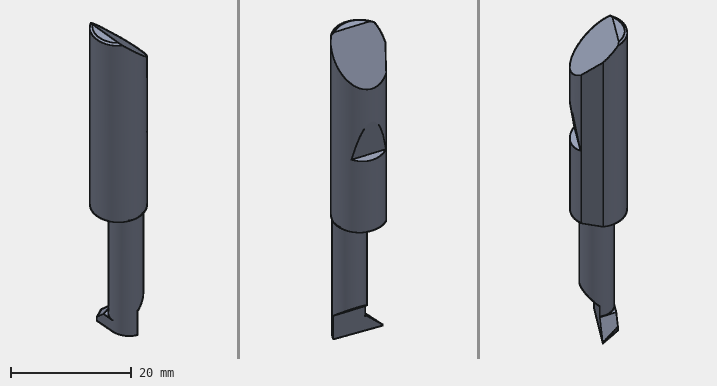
import cadquery as cq

total_length = 63.5
margin = 12.7

shank_radius = 4.75
shank_bottom = 25.4
rim_width = 0.45
rim_height = 0.25
bevel_start_y = -2.85
flat_distance = 4.4
flat_angle = 156.5

notch_top = 48.75
notch_bottom = 40.9
notch_floor_y = 3.55
notch_lip_drop = 0.3

neck_radius = 2.9
neck_x = shank_radius - neck_radius
half_neck_top = 5.35

tip_x = -4.3
tip_land = 0.2
head_top = 3.2
heel_x = -2.15
heel_top = 1.45
end_relief = 11.3
end_back_rake = 1.7


def cut_profile(points):
    """Prism through the whole part along X from a YZ outline."""
    return cq.Workplane("YZ").polyline(points).close().extrude(margin, both=True)


def make_shank():
    shank = (
        cq.Workplane("XY")
        .workplane(offset=shank_bottom)
        .circle(shank_radius)
        .extrude(total_length - shank_bottom)
        .faces(">Z")
        .chamfer(rim_height, rim_width)
    )
    side_flat = (
        cq.Workplane("XY")
        .box(margin, 2 * margin, total_length, centered=(False, True, False))
        .translate((flat_distance, 0, 0))
        .rotate((0, 0, 0), (0, 0, 1), flat_angle)
    )
    bevel = cut_profile([
        (bevel_start_y, total_length),
        (bevel_start_y + margin, total_length - margin),
        (bevel_start_y + margin, total_length),
    ])
    notch = cut_profile([
        (shank_radius, notch_top),
        (notch_floor_y, notch_bottom),
        (shank_radius, notch_bottom - notch_lip_drop),
    ])
    return shank.cut(side_flat).cut(bevel).cut(notch)


def make_neck():
    neck = cq.Workplane("XY").center(neck_x, 0).circle(neck_radius).extrude(shank_bottom)
    half_cut = cut_profile([
        (0, -margin),
        (0, half_neck_top),
        (margin, half_neck_top + margin),
        (margin, -margin),
    ])
    return neck.cut(half_cut)


def head_outline(side_x, slope_bottom):
    """Head section: vertical side, then a 45 degree slope up to the neck."""
    return [
        (side_x, 0),
        (side_x, slope_bottom),
        (side_x + head_top - slope_bottom, head_top),
        (neck_x, head_top),
        (neck_x, 0),
    ]


def make_head():
    return (
        cq.Workplane("XZ")
        .polyline(head_outline(tip_x, tip_land))
        .close()
        .workplane(offset=neck_radius)
        .polyline(head_outline(heel_x, heel_top))
        .close()
        .loft(ruled=True)
    )


def make_end_relief():
    """Block whose tilted top face passes through the tip and trims the end."""
    return (
        cq.Workplane("XY")
        .box(2 * margin, 2 * margin, margin, centered=(True, True, False))
        .translate((0, 0, -margin))
        .rotate((0, 0, 0), (1, 0, 0), -end_relief)
        .rotate((0, 0, 0), (0, 1, 0), -end_back_rake)
        .translate((tip_x, 0, 0))
    )


tool_end = make_neck().union(make_head()).cut(make_end_relief())
result = make_shank().union(tool_end)